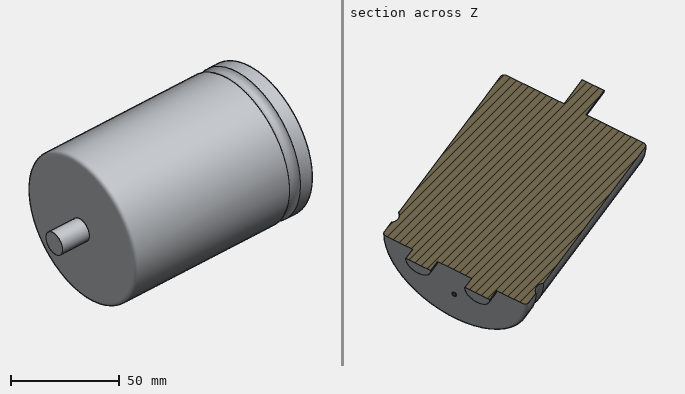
import cadquery as cq

can_diameter = 78.0
can_length = 107.0
can_radius = can_diameter / 2
can_edge_radius = 2.0

groove_width = 6.5
groove_depth = 1.6
groove_from_terminal_end = 11.5

stud_diameter = 12.0
stud_length = 16.0

terminal_diameter = 13.5
terminal_height = 6.0
terminal_pitch = 31.8

pip_diameter = 2.4
pip_height = 0.4
pip_drop = 18.7

stud_end = 0.0
terminal_end = stud_end + can_length


def cylinder_along_y(x, z, start, diameter, length):
    """Cylinder centred on (x, z), running towards +Y from start."""
    base = cq.Plane(origin=(x, start, z), xDir=(1, 0, 0), normal=(0, 1, 0))
    return cq.Workplane(base).circle(diameter / 2).extrude(length)


def can():
    """Cylindrical can with both rims rounded."""
    body = cylinder_along_y(0, 0, stud_end, can_diameter, can_length)
    return body.edges("%CIRCLE").fillet(can_edge_radius)


def bead_groove():
    """Ring with a circular-arc floor that cuts the bead groove into the can."""
    middle = terminal_end - groove_from_terminal_end
    half_width = groove_width / 2
    outside = can_radius + groove_depth
    return (
        cq.Workplane("XY")
        .moveTo(can_radius, middle - half_width)
        .threePointArc(
            (can_radius - groove_depth, middle),
            (can_radius, middle + half_width),
        )
        .lineTo(outside, middle + half_width)
        .lineTo(outside, middle - half_width)
        .close()
        .revolve(360, (0, 0, 0), (0, 1, 0))
    )


def stud():
    """Plain round mounting stud on the can axis."""
    return cylinder_along_y(0, 0, stud_end - stud_length, stud_diameter, stud_length)


def terminal(x):
    """Round terminal standing on the terminal end at the given X."""
    return cylinder_along_y(x, 0, terminal_end, terminal_diameter, terminal_height)


def pip():
    """Low round pip on the terminal end."""
    return cylinder_along_y(0, -pip_drop, terminal_end, pip_diameter, pip_height)


result = can().cut(bead_groove()).union(stud()).union(pip())
for side in (-1, 1):
    result = result.union(terminal(side * terminal_pitch / 2))